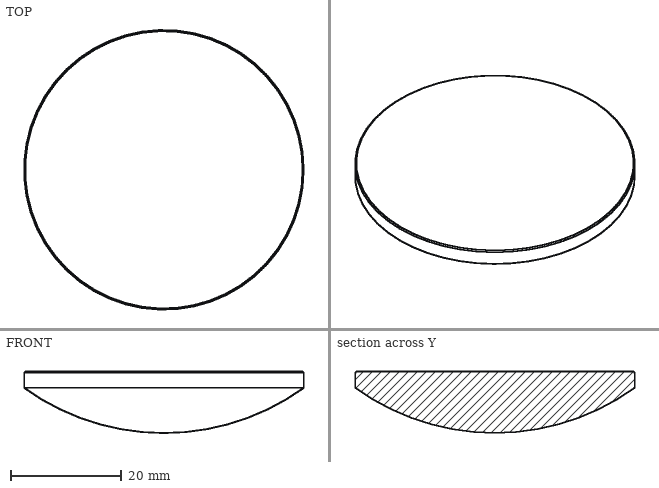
import cadquery as cq
import math

diameter = 50.8
total_thickness = 11.21
edge_thickness = 3.0
rim_chamfer = 0.25

radius = diameter / 2
sag = total_thickness - edge_thickness
sphere_radius = (radius**2 + sag**2) / (2 * sag)

half_angle = math.asin(radius / sphere_radius) / 2
arc_mid = (
    sphere_radius * math.sin(half_angle),
    sphere_radius * (1 - math.cos(half_angle)),
)


def lens_body():
    """Revolve the half section, with the convex apex at the origin."""
    section = (
        cq.Workplane("XZ")
        .moveTo(0, 0)
        .threePointArc(arc_mid, (radius, sag))
        .lineTo(radius, total_thickness)
        .lineTo(0, total_thickness)
        .close()
    )
    return section.revolve(360, (0, 0, 0), (0, 1, 0))


result = lens_body().faces(">Z").edges().chamfer(rim_chamfer)